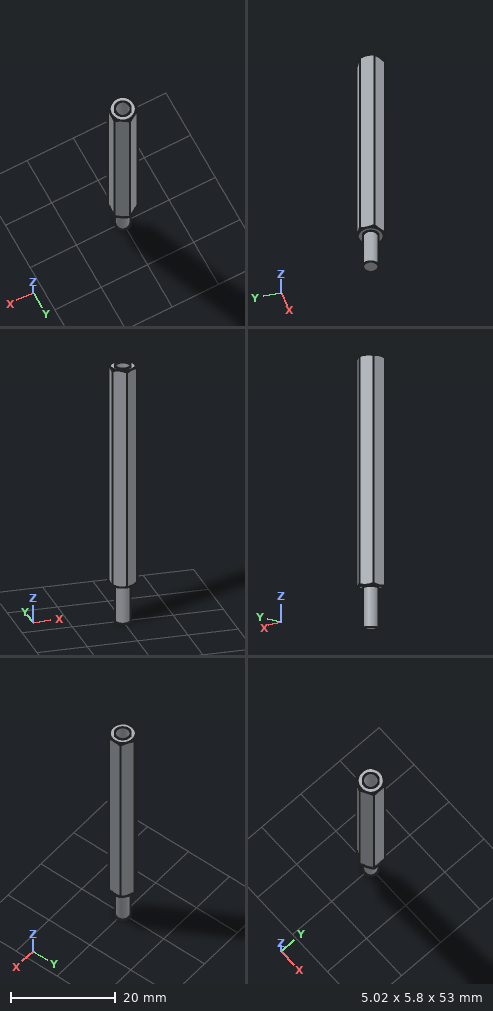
import cadquery as cq
import math

total_length = 53.0
across_corners = 5.8
thread_diameter = 3.0
stud_projection = 8.0
stud_engagement = 8.0
chamfer_angle = 30.0

across_flats = across_corners * math.cos(math.radians(30))
sleeve_length = total_length - stud_projection
stud_bottom = -total_length / 2
sleeve_bottom = stud_bottom + stud_projection
end_radius = across_flats / 2
corner_radius = across_corners / 2
chamfer_height = (corner_radius - end_radius) * math.tan(math.radians(chamfer_angle))


def make_corner_envelope():
    """Turned blank whose conical ends trim the corners of the hexagon."""
    profile = [
        (0, 0),
        (end_radius, 0),
        (corner_radius, chamfer_height),
        (corner_radius, sleeve_length - chamfer_height),
        (end_radius, sleeve_length),
        (0, sleeve_length),
    ]
    return cq.Workplane("XZ").polyline(profile).close().revolve(360, (0, 0), (0, 1))


def make_sleeve():
    """Hexagonal sleeve with a through bore and chamfered corners."""
    hexagon = (
        cq.Workplane("XY")
        .transformed(rotate=(0, 0, 90))
        .polygon(6, across_corners)
        .extrude(sleeve_length)
    )
    bore = cq.Workplane("XY").circle(thread_diameter / 2).extrude(sleeve_length)
    sleeve = hexagon.intersect(make_corner_envelope()).cut(bore)
    return sleeve.translate((0, 0, sleeve_bottom))


def make_stud():
    """Plain round stud seated in the lower end of the sleeve bore."""
    return (
        cq.Workplane("XY")
        .workplane(offset=stud_bottom)
        .circle(thread_diameter / 2)
        .extrude(stud_projection + stud_engagement)
    )


sleeve = make_sleeve()
stud = make_stud()
result = cq.Compound.makeCompound([sleeve.solids().val(), stud.val()])